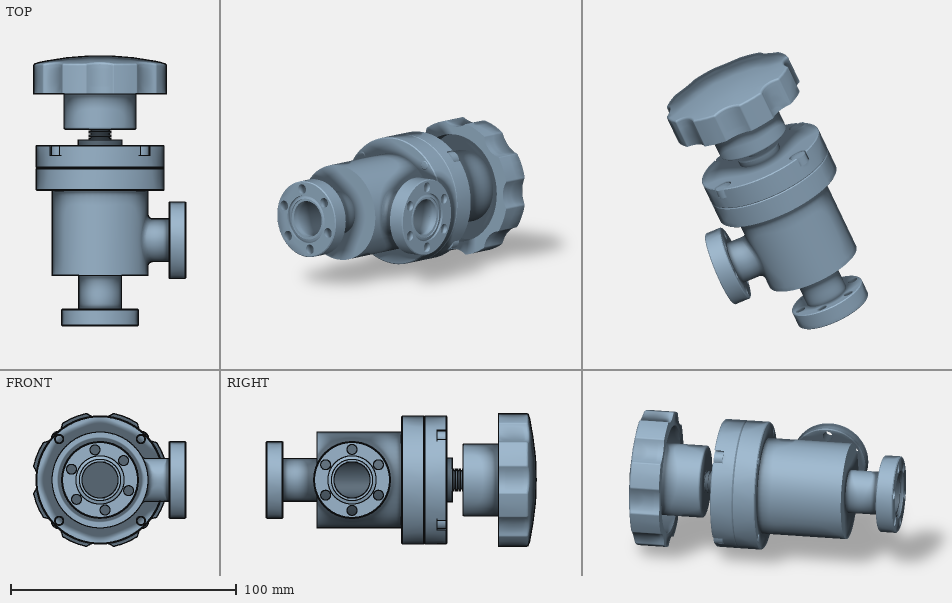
import cadquery as cq
import math


PORT_REACH = 38.0
FLANGE_RADIUS = 17.0
FLANGE_THICKNESS = 7.5
FLANGE_CHAMFER = 0.4
BOLT_CIRCLE_RADIUS = 13.5
BOLT_HOLE_DIAMETER = 4.4
BOLT_COUNT = 6
INLET_BOLT_ANGLE = 20.5
SIDE_BOLT_ANGLE = 0.0
RECESS_RADIUS = 10.7
KNIFE_RADIUS = 9.15
KNIFE_DEPTH = 0.6
KNIFE_SLOPE = 20.0
KNIFE_INNER_DEPTH = 1.2
BORE_RADIUS = 8.0
TUBE_RADIUS = 9.525
TUBE_START = 5.0

BODY_RADIUS = 21.25
BODY_BOTTOM = -15.6
RIM_RADIUS = 28.4
RIM_THICKNESS = 10.0
RIM_BOTTOM = 22.0
RIM_CHAMFER = 0.4
JOINT = RIM_BOTTOM + RIM_THICKNESS
BORE_END = 10.0
WELD_FILLET = 2.0

BONNET_TOP = JOINT + RIM_THICKNESS
GLAND_RADIUS = 9.75
GLAND_TOP = BONNET_TOP + 2.4

SCREW_OFFSET = 18.1
SCREW_RADIUS = 2.0
SCREW_TIP_CHAMFER = 0.3
SCREW_PROTRUSION = 0.3
HEAD_RADIUS = 3.5
HEAD_HEIGHT = 4.0
COUNTERBORE_RADIUS = 4.0
COUNTERBORE_DEPTH = 4.4
SEAT = BONNET_TOP - COUNTERBORE_DEPTH

WHEEL_RADIUS = 30.05
WHEEL_BOTTOM = 64.8
WHEEL_SHOULDER = 78.0
WHEEL_TOP = 81.7
WHEEL_EDGE_FILLET = 1.0
GRIP_COUNT = 8
GRIP_RADIUS = 10.0
GRIP_FLOOR_RADIUS = 27.5
GRIP_FILLET = 1.0
CAVITY_RADIUS = 24.0
CAVITY_DEPTH = 7.0
HUB_RADIUS = 16.0
HUB_BOTTOM = 49.1
HUB_FILLET = 0.8
THREAD_RADIUS = 4.9
THREAD_ROOT_RADIUS = 4.1
THREAD_PITCH = 1.5


def cylinder_y(radius, bottom, top, x=0.0, z=0.0):
    """Cylinder along Y between two Y levels."""
    return cq.Workplane("XZ", origin=(0, bottom, 0)).center(x, z).circle(radius).extrude(bottom - top)


def cylinder_x(radius, start, end):
    """Cylinder along X between two X levels."""
    return cq.Workplane("YZ", origin=(start, 0, 0)).circle(radius).extrude(end - start)


def make_flange(bolt_angle):
    """Knife-edge flange about Z: sealing face at Z = 0, tube socket at the back."""
    slope_drop = (RECESS_RADIUS - KNIFE_RADIUS) * math.tan(math.radians(KNIFE_SLOPE))
    profile = [
        (BORE_RADIUS, KNIFE_INNER_DEPTH),
        (KNIFE_RADIUS, KNIFE_INNER_DEPTH),
        (KNIFE_RADIUS, KNIFE_DEPTH),
        (RECESS_RADIUS, KNIFE_DEPTH + slope_drop),
        (RECESS_RADIUS, 0),
        (FLANGE_RADIUS - FLANGE_CHAMFER, 0),
        (FLANGE_RADIUS, FLANGE_CHAMFER),
        (FLANGE_RADIUS, FLANGE_THICKNESS - FLANGE_CHAMFER),
        (FLANGE_RADIUS - FLANGE_CHAMFER, FLANGE_THICKNESS),
        (TUBE_RADIUS, FLANGE_THICKNESS),
        (TUBE_RADIUS, TUBE_START),
        (BORE_RADIUS, TUBE_START),
    ]
    flange = cq.Workplane("XZ").polyline(profile).close().revolve(360, (0, 0, 0), (0, 1, 0))
    bolt_holes = (
        cq.Workplane("XY")
        .polarArray(BOLT_CIRCLE_RADIUS, bolt_angle, 360, BOLT_COUNT)
        .circle(BOLT_HOLE_DIAMETER / 2)
        .extrude(FLANGE_THICKNESS)
    )
    return flange.cut(bolt_holes)


def make_inlet_flange():
    flange = make_flange(INLET_BOLT_ANGLE)
    return flange.rotate((0, 0, 0), (1, 0, 0), -90).translate((0, -PORT_REACH, 0))


def make_side_flange():
    flange = make_flange(SIDE_BOLT_ANGLE)
    return flange.rotate((0, 0, 0), (0, 1, 0), -90).translate((PORT_REACH, 0, 0))


def screw_positions():
    return [(x, z) for x in (-SCREW_OFFSET, SCREW_OFFSET) for z in (-SCREW_OFFSET, SCREW_OFFSET)]


def chamfered_rim(bottom):
    rim = cylinder_y(RIM_RADIUS, bottom, bottom + RIM_THICKNESS)
    return rim.faces("<Y or >Y").edges().chamfer(RIM_CHAMFER)


def make_body():
    tube_end = PORT_REACH - TUBE_START
    barrel = cylinder_y(BODY_RADIUS, BODY_BOTTOM, RIM_BOTTOM)
    body = barrel.union(cylinder_x(TUBE_RADIUS, 0, tube_end))
    weld_box = cq.selectors.BoxSelector((1, -12, -12), (BODY_RADIUS + 1, 12, 12))
    body = body.edges(weld_box).fillet(WELD_FILLET)
    body = body.union(cylinder_y(TUBE_RADIUS, -tube_end, BODY_BOTTOM))
    body = body.union(chamfered_rim(RIM_BOTTOM))
    body = body.cut(cylinder_y(BORE_RADIUS, -tube_end, BORE_END))
    body = body.cut(cylinder_x(BORE_RADIUS, 0, tube_end))
    for x, z in screw_positions():
        body = body.cut(cylinder_y(SCREW_RADIUS, RIM_BOTTOM, JOINT, x, z))
    return body


def make_bonnet():
    bonnet = chamfered_rim(JOINT).union(cylinder_y(GLAND_RADIUS, BONNET_TOP, GLAND_TOP))
    for x, z in screw_positions():
        bonnet = bonnet.cut(cylinder_y(SCREW_RADIUS, JOINT, BONNET_TOP, x, z))
        bonnet = bonnet.cut(cylinder_y(COUNTERBORE_RADIUS, SEAT, BONNET_TOP, x, z))
    return bonnet


def make_screw(x, z):
    tip = RIM_BOTTOM - SCREW_PROTRUSION
    shank = cylinder_y(SCREW_RADIUS, tip, SEAT, x, z).faces("<Y").edges().chamfer(SCREW_TIP_CHAMFER)
    return shank.union(cylinder_y(HEAD_RADIUS, SEAT, SEAT + HEAD_HEIGHT, x, z))


def make_wheel_rim():
    """Domed wheel with scalloped grips and a hollow underside."""
    wheel = cylinder_y(WHEEL_RADIUS, WHEEL_BOTTOM, WHEEL_TOP)
    for index in range(GRIP_COUNT):
        angle = 2 * math.pi * index / GRIP_COUNT
        distance = GRIP_FLOOR_RADIUS + GRIP_RADIUS
        grip_x = distance * math.cos(angle)
        grip_z = distance * math.sin(angle)
        wheel = wheel.cut(cylinder_y(GRIP_RADIUS, WHEEL_BOTTOM, WHEEL_TOP, grip_x, grip_z))
    wheel = wheel.edges("|Y").fillet(GRIP_FILLET)
    dome_rise = WHEEL_TOP - WHEEL_SHOULDER
    dome_radius = (WHEEL_RADIUS ** 2 + dome_rise ** 2) / (2 * dome_rise)
    dome = cq.Workplane("XY").sphere(dome_radius).translate((0, WHEEL_TOP - dome_radius, 0))
    wheel = wheel.intersect(dome)
    wheel = wheel.faces(">Y").edges().fillet(WHEEL_EDGE_FILLET)
    return wheel.cut(cylinder_y(CAVITY_RADIUS, WHEEL_BOTTOM, WHEEL_BOTTOM + CAVITY_DEPTH))


def make_spindle():
    """Threaded spindle shown as evenly spaced rings."""
    spindle = cylinder_y(THREAD_ROOT_RADIUS, GLAND_TOP, HUB_BOTTOM)
    ring_width = THREAD_PITCH / 2
    ring_count = math.ceil((HUB_BOTTOM - GLAND_TOP) / THREAD_PITCH)
    for index in range(ring_count):
        ring_bottom = GLAND_TOP + index * THREAD_PITCH
        spindle = spindle.union(cylinder_y(THREAD_RADIUS, ring_bottom, ring_bottom + ring_width))
    return spindle


def make_handwheel():
    hub = cylinder_y(HUB_RADIUS, HUB_BOTTOM, WHEEL_BOTTOM + CAVITY_DEPTH)
    hub = hub.faces("<Y").edges().fillet(HUB_FILLET)
    return make_wheel_rim().union(hub).union(make_spindle())


handwheel = make_handwheel()
bonnet = make_bonnet()
body = make_body()
inlet_flange = make_inlet_flange()
side_flange = make_side_flange()
screws = [make_screw(x, z) for x, z in screw_positions()]

result = cq.Compound.makeCompound(
    [
        handwheel.val(),
        bonnet.val(),
        body.val(),
        inlet_flange.val(),
        side_flange.val(),
        *[screw.val() for screw in screws],
    ]
)